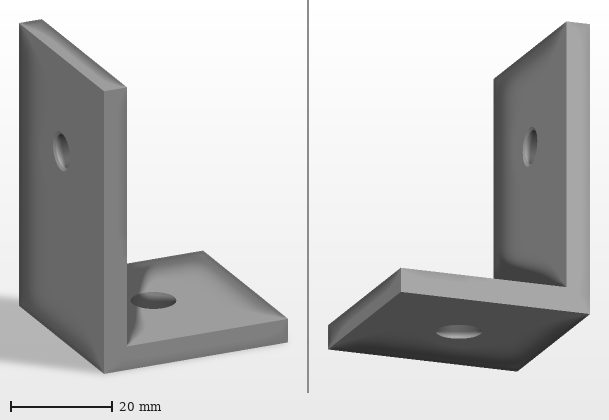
import cadquery as cq

height = 60.0
width = height * 2 / 3
depth = width
thickness = height / 12

wall_hole_diameter = 6.8
wall_hole_mouth_diameter = 8.0
wall_hole_chamfer_depth = 0.35
wall_hole_height = height * 2 / 3

base_hole_diameter = 9.0
base_hole_y = depth / 2


def make_bracket():
    """L-shaped body centred on X, with its outer corner at Y = Z = 0."""
    base = cq.Workplane("XY").box(width, depth, thickness, centered=(True, False, False))
    wall = cq.Workplane("XY").box(width, thickness, height, centered=(True, False, False))
    return base.union(wall)


def make_wall_hole():
    """Cutter along +Y with a shallow cone at each face."""
    half_mouth = wall_hole_mouth_diameter / 2
    half_bore = wall_hole_diameter / 2
    return (
        cq.Workplane("XY")
        .polyline([
            (0, 0),
            (half_mouth, 0),
            (half_bore, wall_hole_chamfer_depth),
            (half_bore, thickness - wall_hole_chamfer_depth),
            (half_mouth, thickness),
            (0, thickness),
        ])
        .close()
        .revolve(360, (0, 0, 0), (0, 1, 0))
        .translate((0, 0, wall_hole_height))
    )


def make_base_hole():
    """Vertical cutter through the base leg."""
    return (
        cq.Workplane("XY")
        .center(0, base_hole_y)
        .circle(base_hole_diameter / 2)
        .extrude(thickness)
    )


result = make_bracket().cut(make_wall_hole()).cut(make_base_hole())